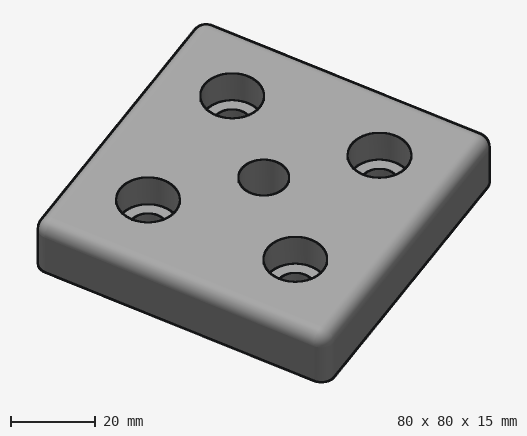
import cadquery as cq

side = 80.0
thickness = 15.0
edge_radius = 3.5

center_hole_diameter = 12.0
bolt_spacing = side / 2
bolt_hole_diameter = 9.0
counterbore_diameter = 15.0
counterbore_depth = 9.0

plate = cq.Workplane("XY").box(side, side, thickness, centered=(True, True, False))
plate = plate.edges("|Z").fillet(edge_radius)
plate = plate.faces(">Z").edges().fillet(edge_radius)

plate = plate.faces(">Z").workplane(origin=(0, 0, thickness)).hole(center_hole_diameter)

result = (
    plate.faces(">Z")
    .workplane(origin=(0, 0, thickness))
    .rarray(bolt_spacing, bolt_spacing, 2, 2)
    .cboreHole(bolt_hole_diameter, counterbore_diameter, counterbore_depth)
)